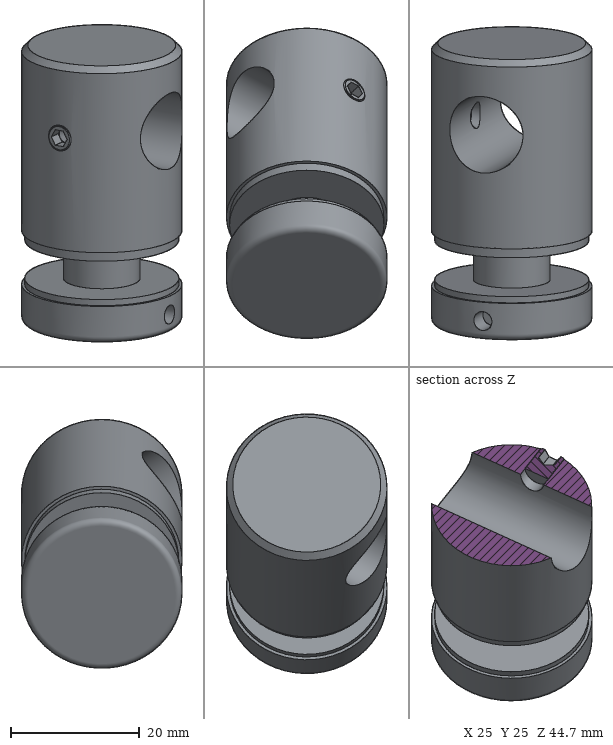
import cadquery as cq
import math

body_diameter = 25.0
washer_diameter = 24.0
stem_diameter = 12.0

cap_height = 6.0
lower_washer_thickness = 1.0
clamping_gap = 6.2
upper_washer_thickness = 1.5
housing_height = 30.0

lower_washer_base = cap_height
upper_washer_base = lower_washer_base + lower_washer_thickness + clamping_gap
housing_base = upper_washer_base + upper_washer_thickness
housing_top = housing_base + housing_height

body_radius = body_diameter / 2
edge_size = 1.0

bore_diameter = 12.2
bore_drop = 12.0
bore_height = housing_top - bore_drop

screw_diameter = 4.1
screw_length = 5.0
screw_chamfer = 0.2
socket_sides = 6
socket_across_flats = 2.5
socket_depth = 2.0
socket_cone_angle = 120

spanner_hole_diameter = 3.0
spanner_hole_depth = 4.0


def disc(diameter, base, height):
    """Cylinder about the Z axis."""
    return cq.Workplane("XY", origin=(0, 0, base)).circle(diameter / 2).extrude(height)


def along_y(start):
    """Plane facing +Y at Y = start, centred on the set screw axis."""
    return cq.Workplane(cq.Plane(origin=(0, start, bore_height), xDir=(1, 0, 0), normal=(0, 1, 0)))


def make_housing():
    """Round housing with a cross bore and a screw hole that opens into the bore."""
    blank = disc(body_diameter, housing_base, housing_height).faces(">Z").chamfer(edge_size)
    cross_bore = (
        cq.Workplane("YZ", origin=(-body_radius, 0, bore_height))
        .circle(bore_diameter / 2)
        .extrude(body_diameter)
    )
    screw_hole = along_y(-body_radius).circle(screw_diameter / 2).extrude(body_radius)
    return blank.cut(cross_bore).cut(screw_hole)


def make_set_screw():
    """Headless screw with a hexagon socket that ends in a cone."""
    shank = (
        along_y(-body_radius)
        .circle(screw_diameter / 2)
        .extrude(screw_length)
        .faces("<Y")
        .chamfer(screw_chamfer)
    )
    across_corners = socket_across_flats / math.cos(math.pi / socket_sides)
    socket = along_y(-body_radius).polygon(socket_sides, across_corners).extrude(socket_depth)

    cone_radius = socket_across_flats / 2
    cone_depth = cone_radius / math.tan(math.radians(socket_cone_angle / 2))
    cone = cq.Solid.makeCone(
        cone_radius,
        0,
        cone_depth,
        pnt=cq.Vector(0, socket_depth - body_radius, bore_height),
        dir=cq.Vector(0, 1, 0),
    )
    return shank.cut(socket).cut(cq.Workplane(cone))


def make_washer(base, thickness):
    """Flat ring that fits around the stem."""
    ring = disc(washer_diameter, base, thickness)
    return ring.cut(disc(stem_diameter, base, thickness))


def make_cap():
    """Clamping cap whose stem runs through both washers up to the housing."""
    head = disc(body_diameter, 0, cap_height).faces("<Z").edges().fillet(edge_size)
    stem = disc(stem_diameter, cap_height, housing_base - cap_height)
    spanner_hole = (
        cq.Workplane("YZ", origin=(body_radius, 0, cap_height / 2))
        .circle(spanner_hole_diameter / 2)
        .extrude(-spanner_hole_depth)
    )
    return head.union(stem).cut(spanner_hole)


housing = make_housing()
set_screw = make_set_screw()
washers = [
    make_washer(base, thickness)
    for base, thickness in (
        (lower_washer_base, lower_washer_thickness),
        (upper_washer_base, upper_washer_thickness),
    )
]
cap = make_cap()

result = cq.Compound.makeCompound(
    [
        housing.solids().val(),
        set_screw.solids().val(),
        *[washer.solids().val() for washer in washers],
        cap.solids().val(),
    ]
)